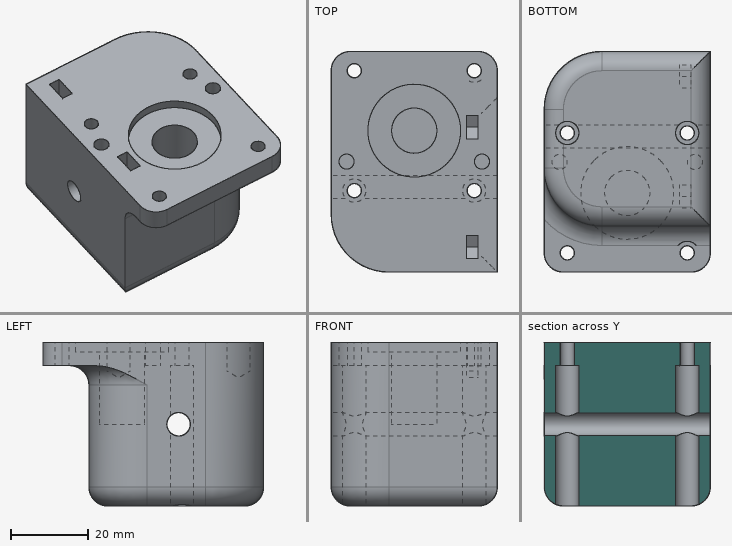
import cadquery as cq
import math


width = 43.0
height = 42.3
length = 57.1
back_y = 20.5
front_y = back_y - length

flange_thickness = 6.0
flange_corner_radius = 5.0
flange_underside_z = height - flange_thickness
body_back_y = 8.6
body_corner_radius = 15.0
blend_radius = 5.0

recess_diameter = 24.0
recess_depth = 2.5
bore_diameter = 11.7
bore_depth = height / 2

screw_spacing = 31.0
screw_diameter = 3.6
screw_head_diameter = 6.0

pin_diameter = 3.9
pin_spacing = 35.0
pin_y = -8.0
pin_depth = flange_thickness

shaft_diameter = 6.0
shaft_y = -14.6
shaft_z = height / 2

nut_across_flats = 6.0
nut_thickness = 3.0
nut_slot_x = 15.0
nut_z = shaft_z + screw_spacing / 2


def block(y_min, y_max, z_min, z_max):
    """Full-width block between two Y and two Z limits."""
    return (
        cq.Workplane("XY")
        .box(width, y_max - y_min, z_max - z_min, centered=(True, False, False))
        .translate((0, y_min, z_min))
    )


def vertical_hole(x, y, diameter, z_min, z_max):
    """Cutter for a round hole parallel to Z."""
    return (
        cq.Workplane("XY", origin=(x, y, z_min))
        .circle(diameter / 2)
        .extrude(z_max - z_min)
    )


def make_body():
    """Body with rounded corners on -X and a rounded bottom, up to the top face."""
    return (
        block(front_y, body_back_y, 0, height)
        .edges("|Z and <X")
        .fillet(body_corner_radius)
        .faces("<Z")
        .edges()
        .fillet(blend_radius)
    )


def make_flange():
    """Top plate covering the body and overhanging it at the back."""
    return (
        block(front_y, back_y, flange_underside_z, height)
        .edges("|Z and >Y")
        .fillet(flange_corner_radius)
        .edges("|Z and <X and <Y")
        .fillet(body_corner_radius)
    )


def make_blend():
    """Concave blend between the back of the body and the underside of the flange."""
    blend_bottom_z = flange_underside_z - blend_radius
    blend_back_y = body_back_y + blend_radius
    straight_x = -width / 2 + body_corner_radius
    corner_y = body_back_y - body_corner_radius

    straight = (
        cq.Workplane("YZ", origin=(straight_x, 0, 0))
        .moveTo(body_back_y, blend_bottom_z)
        .radiusArc((blend_back_y, flange_underside_z), blend_radius)
        .lineTo(body_back_y, flange_underside_z)
        .close()
        .extrude(width / 2 - straight_x)
    )

    turned = (
        cq.Workplane("XZ", origin=(straight_x, corner_y, 0))
        .moveTo(-body_corner_radius, blend_bottom_z)
        .radiusArc((-body_corner_radius - blend_radius, flange_underside_z), -blend_radius)
        .lineTo(0, flange_underside_z)
        .lineTo(0, blend_bottom_z)
        .close()
        .revolve(90, (0, 0), (0, -1))
    )
    envelope = block(corner_y, back_y, 0, height)
    return straight.union(turned.intersect(envelope))


def cut_bore(part):
    """Blind main bore and the recess around its mouth."""
    recess = vertical_hole(0, 0, recess_diameter, height - recess_depth, height)
    bore = vertical_hole(0, 0, bore_diameter, height - bore_depth, height)
    return part.cut(recess).cut(bore)


def cut_screw_holes(part):
    """Four through holes; screw heads sit level with the underside of the flange."""
    for x in (-screw_spacing / 2, screw_spacing / 2):
        for y in (-screw_spacing / 2, screw_spacing / 2):
            part = part.cut(vertical_hole(x, y, screw_diameter, 0, height))
            part = part.cut(vertical_hole(x, y, screw_head_diameter, 0, flange_underside_z))
    return part


def cut_pin_holes(part):
    """Two blind holes in the top face."""
    for x in (-pin_spacing / 2, pin_spacing / 2):
        part = part.cut(vertical_hole(x, pin_y, pin_diameter, height - pin_depth, height))
    return part


def cut_shaft_hole(part):
    """Cross hole through the full width."""
    shaft = (
        cq.Workplane("YZ", origin=(-width / 2, shaft_y, shaft_z))
        .circle(shaft_diameter / 2)
        .extrude(width)
    )
    return part.cut(shaft)


def cut_nut_slots(part):
    """Two slots whose V-shaped floors hold the lower corner of a hexagonal nut."""
    half_flat = nut_across_flats / 2
    corner_radius = half_flat / math.cos(math.radians(30))
    flat_bottom_z = nut_z - corner_radius / 2
    for y in (shaft_y - screw_spacing / 2, shaft_y + screw_spacing / 2):
        slot = (
            cq.Workplane("YZ", origin=(nut_slot_x - nut_thickness / 2, 0, 0))
            .moveTo(y - half_flat, height)
            .lineTo(y - half_flat, flat_bottom_z)
            .lineTo(y, nut_z - corner_radius)
            .lineTo(y + half_flat, flat_bottom_z)
            .lineTo(y + half_flat, height)
            .close()
            .extrude(nut_thickness)
        )
        part = part.cut(slot)
    return part


result = make_body().union(make_flange()).union(make_blend())
result = cut_bore(result)
result = cut_screw_holes(result)
result = cut_pin_holes(result)
result = cut_shaft_hole(result)
result = cut_nut_slots(result)